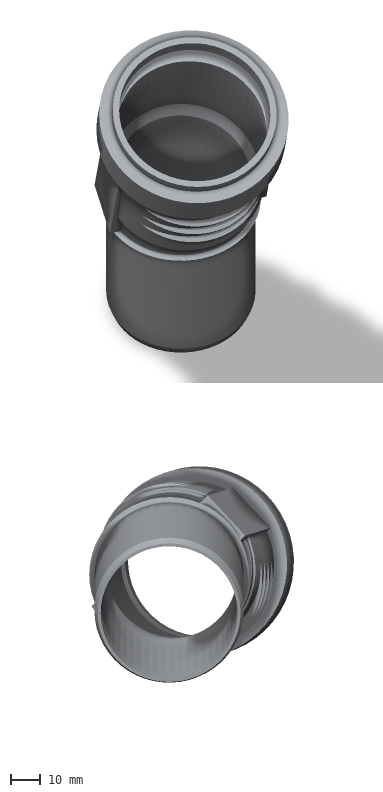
import cadquery as cq
import math

bend_angle = 15.0
bend_height = 57.9
bend_tangent = 3.4
bend_radius = bend_tangent / math.tan(math.radians(bend_angle / 2))

pipe_radius = 25.1
pipe_bore_radius = 23.0
tip_radius = 24.0
tip_length = 3.5
pipe_end = bend_height - bend_tangent

bead_height = 52.5
bead_radius = 26.8
bead_thickness = 1.7

neck_cone_start = 5.5
neck_top = 8.6
neck_radius = 25.6
step_top = 11.0
step_radius = 26.7
barrel_radius = 27.4
collar_bottom = 45.4
collar_top = 58.1
collar_radius = 63.7 / 2

bore_cone_start = 8.7
socket_bottom = 13.3
socket_radius = 25.2
groove_bottom = 47.8
groove_radius = 29.8

ring_bottom = 56.4
ring_top = 61.9
ring_radius = 27.5
ring_bore_radius = 25.5

pad_width = 18.5
pad_bottom = -1.7

rib_count = 4
first_rib = 21.0
rib_spacing = 6.4
rib_thickness = 1.5
rib_offset = 4.9
rib_radius = 24.6

tilt = math.radians(bend_angle)
head_plane = cq.Plane(
    origin=(0, 0, bend_height),
    xDir=(math.cos(tilt), 0, -math.sin(tilt)),
    normal=(math.sin(tilt), 0, math.cos(tilt)),
)


def turned(points):
    """Revolve a (radius, height) outline around the Z axis."""
    return cq.Workplane("XZ").polyline(points).close().revolve(360, (0, 0), (0, 1))


def on_head(shape):
    """Move a shape from the Z axis onto the tilted head axis."""
    return cq.Workplane(shape.val().moved(cq.Location(head_plane)))


def edged_disc(radius, depth, thickness, height):
    """Disc whose rim tapers to a sharp edge over the given depth."""
    half = thickness / 2
    return turned([
        (0, height - half),
        (radius - depth, height - half),
        (radius, height),
        (radius - depth, height + half),
        (0, height + half),
    ])


def bend(radius):
    """Curved length of solid round bar joining the pipe to the head."""
    return (
        cq.Workplane("XY", origin=(0, 0, pipe_end))
        .circle(radius)
        .revolve(bend_angle, (bend_radius, 0, 0), (bend_radius, 1, 0))
    )


def make_pipe_outside():
    pipe = turned([
        (0, 0), (tip_radius, 0), (pipe_radius, tip_length), (pipe_radius, pipe_end), (0, pipe_end),
    ])
    bead = edged_disc(bead_radius, bead_radius - pipe_radius, bead_thickness, bead_height)
    return pipe.union(bead)


def make_head_outside():
    head = turned([
        (0, bend_tangent),
        (pipe_radius, bend_tangent),
        (pipe_radius, neck_cone_start),
        (neck_radius, neck_top),
        (step_radius, neck_top),
        (step_radius, step_top),
        (barrel_radius, step_top),
        (barrel_radius, collar_bottom),
        (collar_radius, collar_bottom),
        (collar_radius, collar_top),
        (0, collar_top),
    ])
    pads = (
        cq.Workplane("XY", origin=(0, 0, pad_bottom))
        .rect(pad_width, 2 * barrel_radius)
        .extrude(collar_bottom - pad_bottom)
    )
    head = head.union(pads)
    rim_depth = rib_offset + rib_radius - barrel_radius
    for number in range(rib_count):
        height = first_rib + number * rib_spacing
        rib = edged_disc(rib_radius, rim_depth, rib_thickness, height)
        for side in (-1, 1):
            head = head.union(rib.translate((side * rib_offset, 0, 0)))
    return on_head(head)


def make_passage():
    """Everything hollow inside the housing, including the seat of the ring."""
    pipe_bore = cq.Workplane("XY").circle(pipe_bore_radius).extrude(pipe_end)
    head_bore = turned([
        (0, bend_tangent),
        (pipe_bore_radius, bend_tangent),
        (pipe_bore_radius, bore_cone_start),
        (socket_radius, socket_bottom),
        (socket_radius, groove_bottom),
        (groove_radius, groove_bottom),
        (groove_radius, ring_bottom),
        (ring_radius, ring_bottom),
        (ring_radius, collar_top),
        (0, collar_top),
    ])
    return pipe_bore.union(bend(pipe_bore_radius)).union(on_head(head_bore))


def make_housing():
    outside = make_pipe_outside().union(bend(pipe_radius)).union(make_head_outside())
    return outside.cut(make_passage())


def make_ring():
    ring = (
        cq.Workplane("XY", origin=(0, 0, ring_bottom))
        .circle(ring_radius)
        .circle(ring_bore_radius)
        .extrude(ring_top - ring_bottom)
    )
    return on_head(ring)


housing = make_housing()
ring = make_ring()
result = cq.Compound.makeCompound([housing.val(), ring.val()])